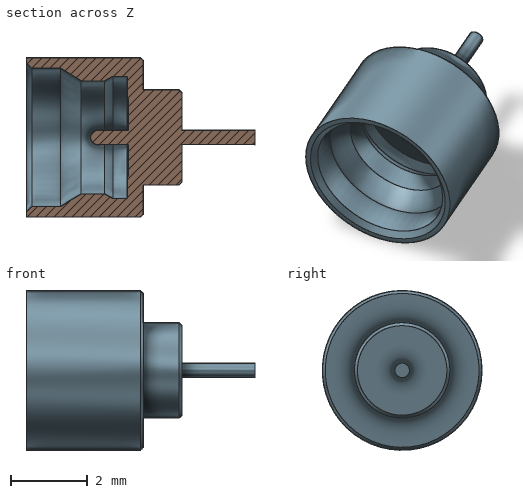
import cadquery as cq


total_length = 5.97
body_diameter = 4.17
body_length = 3.05
boss_diameter = 2.49
boss_end = 4.065
rear_chamfer = 0.08

entry_diameter = 3.605
mouth_chamfer = 0.145
mouth_diameter = entry_diameter + 2 * mouth_chamfer
inner_diameter = 2.945
chamber_diameter = 3.175
taper_start = 0.895
taper_end = 1.43
flare_start = 2.04
flare_end = 2.255
socket_floor = 2.625

bead_diameter = 2.03
bead_recess = 0.03

pin_diameter = 0.38
pin_tip = 1.67


def disc(diameter, start, end):
    """Solid cylinder on the X axis between two X positions."""
    return cq.Workplane("YZ", origin=(start, 0, 0)).circle(diameter / 2).extrude(end - start)


def make_shell():
    body = disc(body_diameter, 0, body_length).faces(">X").chamfer(rear_chamfer)
    boss = disc(boss_diameter, body_length, boss_end).faces(">X").chamfer(rear_chamfer)
    return body.union(boss)


def make_socket():
    """Socket cavity, revolved from its half section (X position, radius)."""
    return (
        cq.Workplane("XY")
        .moveTo(0, 0)
        .lineTo(0, mouth_diameter / 2)
        .lineTo(mouth_chamfer, entry_diameter / 2)
        .lineTo(taper_start, entry_diameter / 2)
        .lineTo(taper_end, inner_diameter / 2)
        .lineTo(flare_start, inner_diameter / 2)
        .lineTo(flare_end, chamber_diameter / 2)
        .lineTo(socket_floor, chamber_diameter / 2)
        .lineTo(socket_floor, 0)
        .close()
        .revolve(360, (0, 0, 0), (1, 0, 0))
    )


def make_pin():
    tip_radius = pin_diameter / 2
    tip_centre = pin_tip + tip_radius
    shaft = disc(pin_diameter, tip_centre, total_length)
    tip = cq.Workplane("XY", origin=(tip_centre, 0, 0)).sphere(tip_radius)
    return shaft.union(tip)


bead_pocket = disc(bead_diameter, socket_floor, socket_floor + bead_recess)

result = make_shell().cut(make_socket()).cut(bead_pocket).union(make_pin())